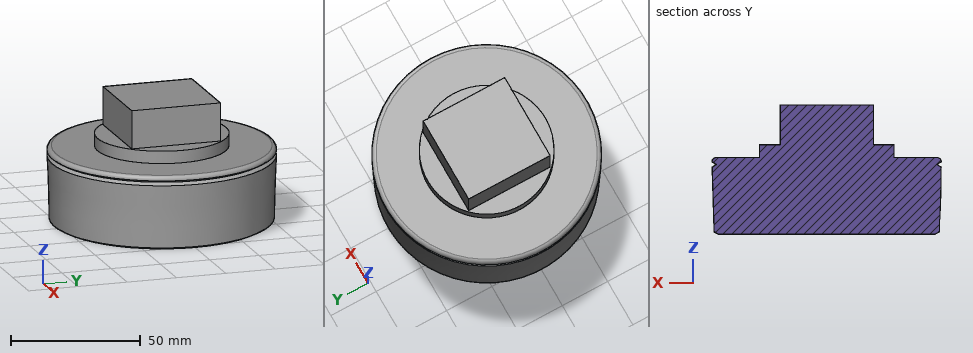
import cadquery as cq
import math

total_height = 50.0
collar_top = 34.7
flange_top = 29.75

head_width = 36.0
collar_diameter = 52.0

flange_radius = 88.77 / 2
flange_rounding = 1.75

groove_root_radius = 42.65
groove_flank_angle = math.radians(30)

body_top_radius = 44.32
diameter_taper = 1 / 16
chamfer_height = 0.9
chamfer_width = 1.73


def make_body():
    """Revolve the plug body, V-groove and flange about Z."""
    flange_bottom = flange_top - flange_rounding
    flank_slope = math.tan(groove_flank_angle)
    groove_root_z = flange_bottom - (flange_radius - groove_root_radius) * flank_slope
    body_top = groove_root_z - (body_top_radius - groove_root_radius) * flank_slope
    taper_length = body_top - chamfer_height
    body_bottom_radius = body_top_radius - taper_length * diameter_taper / 2

    arc_center_radius = flange_radius - flange_rounding
    arc_offset = flange_rounding * math.sin(math.pi / 4)
    arc_middle = (arc_center_radius + arc_offset, flange_bottom + arc_offset)

    profile = (
        cq.Workplane("XZ")
        .moveTo(0, 0)
        .lineTo(body_bottom_radius - chamfer_width, 0)
        .lineTo(body_bottom_radius, chamfer_height)
        .lineTo(body_top_radius, body_top)
        .lineTo(groove_root_radius, groove_root_z)
        .lineTo(flange_radius, flange_bottom)
        .threePointArc(arc_middle, (arc_center_radius, flange_top))
        .lineTo(0, flange_top)
        .close()
    )
    return profile.revolve(360, (0, 0, 0), (0, 1, 0))


def make_collar():
    """Round collar standing on the flange."""
    return (
        cq.Workplane("XY")
        .workplane(offset=flange_top)
        .circle(collar_diameter / 2)
        .extrude(collar_top - flange_top)
    )


def make_head():
    """Square wrench head standing on the collar."""
    return (
        cq.Workplane("XY")
        .workplane(offset=collar_top)
        .rect(head_width, head_width)
        .extrude(total_height - collar_top)
    )


result = make_body().union(make_collar()).union(make_head())